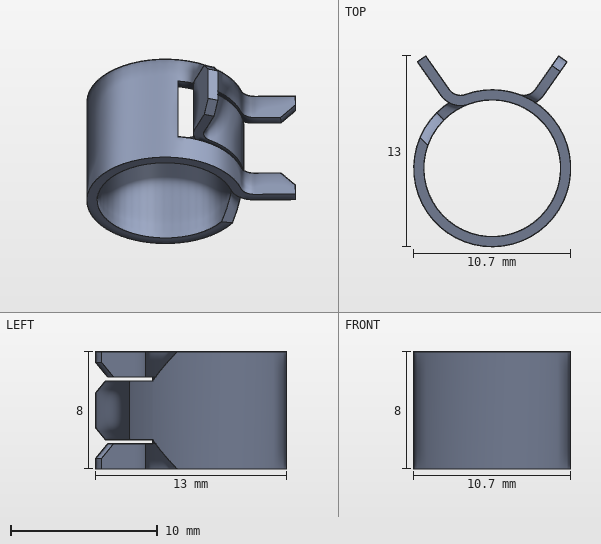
import cadquery as cq
import math


overall_depth = 13.0
band_diameter = 10.7
band_height = 8.0
strip_thickness = 0.7
tongue_height = 4.0
slot_height = 4.52
bend_radius = 0.95
prong_tip_chamfer = 1.0
tongue_tip_chamfer = 0.8

root_angle = 45.0
bend_angle = 110.0
arm_angle = 125.0

outer_radius = band_diameter / 2
inner_radius = outer_radius - strip_thickness
tip_y = overall_depth - outer_radius
prong_height = (band_height - slot_height) / 2
shoulder_size = (band_height - tongue_height) / 2


def polar(radius, angle, center=(0.0, 0.0)):
    """Point at a radius and an angle in degrees about a center."""
    turn = math.radians(angle)
    return (center[0] + radius * math.cos(turn), center[1] + radius * math.sin(turn))


def arm(height, z_middle):
    """Strip that follows the band from its root, bends outward and ends straight at the upper left."""
    bend_center = polar(outer_radius + bend_radius, bend_angle)
    outer_bend_radius = bend_radius + strip_thickness
    bend_start = bend_angle + 180
    bend_end = arm_angle + 90
    bend_middle = (bend_start + bend_end) / 2
    follow_middle = (root_angle + bend_angle) / 2

    straight_start = polar(bend_radius, bend_end, bend_center)
    straight_length = (tip_y - straight_start[1]) / math.sin(math.radians(arm_angle))
    tip_upper = polar(straight_length, arm_angle, straight_start)
    tip_lower = polar(strip_thickness, bend_end, tip_upper)

    return (
        cq.Workplane("XY", origin=(0, 0, z_middle - height / 2))
        .moveTo(*polar(outer_radius, root_angle))
        .threePointArc(polar(outer_radius, follow_middle), polar(outer_radius, bend_angle))
        .threePointArc(polar(bend_radius, bend_middle, bend_center), straight_start)
        .lineTo(*tip_upper)
        .lineTo(*tip_lower)
        .lineTo(*polar(outer_bend_radius, bend_end, bend_center))
        .threePointArc(polar(outer_bend_radius, bend_middle, bend_center), polar(inner_radius, bend_angle))
        .threePointArc(polar(inner_radius, follow_middle), polar(inner_radius, root_angle))
        .close()
        .extrude(height)
    )


def tip_edges(strip):
    """The two edges across the strip thickness at the arm tip."""
    across_thickness = cq.Vector(*polar(1, arm_angle + 90), 0)
    return strip.edges(cq.selectors.ParallelDirSelector(across_thickness))


def make_band():
    """Full-height open ring with its gap between the two arm roots."""
    gap_reach = 2 * outer_radius
    gap = (
        cq.Workplane("XY")
        .polyline([(0, 0), polar(gap_reach, root_angle), polar(gap_reach, 180 - root_angle)])
        .close()
        .extrude(band_height / 2, both=True)
    )
    ring = (
        cq.Workplane("XY")
        .circle(outer_radius)
        .circle(inner_radius)
        .extrude(band_height / 2, both=True)
    )
    return ring.cut(gap)


def make_shoulder_cutter():
    """Wedges that taper the left end of the band down to the tongue height, top and bottom."""
    left_root = 180 - root_angle
    plane = cq.Plane(
        origin=(0, 0, 0),
        xDir=(*polar(1, left_root - 90), 0),
        normal=(*polar(1, left_root), 0),
    )
    cutter = cq.Workplane(plane)
    for side in (1, -1):
        edge = side * band_height / 2
        cutter = (
            cutter
            .polyline([(-shoulder_size, edge), (0, edge), (0, side * tongue_height / 2)])
            .close()
        )
    return cutter.extrude(band_height)


prong_middle = (slot_height + prong_height) / 2
upper_prong = tip_edges(arm(prong_height, prong_middle)).edges("<Z").chamfer(prong_tip_chamfer)
lower_prong = upper_prong.mirror("XY")

tongue = tip_edges(arm(tongue_height, 0)).chamfer(tongue_tip_chamfer).mirror("YZ")

result = (
    make_band()
    .union(upper_prong)
    .union(lower_prong)
    .cut(make_shoulder_cutter())
    .union(tongue)
)